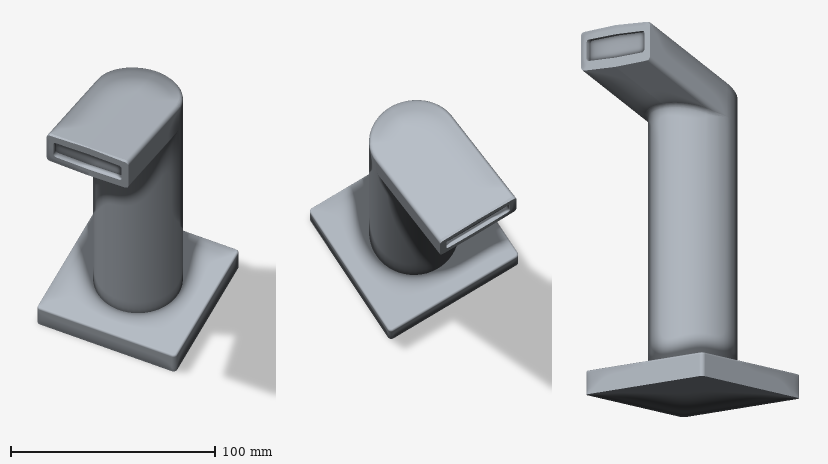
import cadquery as cq
import math

base_side = 75.0
base_height = 12.0
base_corner_radius = 2.0
base_top_radius = 1.0

column_diameter = 44.0
column_radius = column_diameter / 2
total_height = 176.25
spout_reach = 59.0
spout_angle = 20.0
spout_thickness = 21.1
spout_edge_radius = 2.0
crown = 0.7
neck_radius = 2.0

strip_length = 0.7
end_crown = 1.0

pocket_width = 36.8
pocket_height = 11.6
pocket_drop = 4.6
pocket_crown = 0.5
pocket_corner_radius = 1.5
pocket_depth = 3.0

slope = math.tan(math.radians(spout_angle))
spout_length = spout_reach + column_radius
end_ridge_height = total_height + strip_length * slope
back_ridge_height = end_ridge_height - spout_length * slope
ridge_height_on_axis = end_ridge_height - spout_reach * slope
column_top = ridge_height_on_axis - spout_thickness / 2


def crowned_outline(y, width, top, height, rise):
    """Closed six-sided outline in the XZ plane, ridged at the top and bottom middle."""
    half = width / 2
    bottom = top - height
    return cq.Workplane("XZ", origin=(0, y, 0)).polyline([
        (0, top),
        (half, top - rise),
        (half, bottom + rise),
        (0, bottom),
        (-half, bottom + rise),
        (-half, top - rise),
    ]).close()


def make_base():
    """Square plate with rounded corners and a rounded top edge."""
    plate = cq.Workplane("XY").rect(base_side, base_side).extrude(base_height)
    plate = plate.edges("|Z").fillet(base_corner_radius)
    return plate.faces(">Z").edges().fillet(base_top_radius)


def make_spout_blank():
    """Inclined crowned bar whose back end is rounded to the column."""
    outline = crowned_outline(column_radius, column_diameter, back_ridge_height, spout_thickness, crown)
    rise_vector = cq.Vector(0, -spout_length, spout_length * slope)
    bar = cq.Solid.extrudeLinear(outline.val(), [], rise_vector)
    rounded_plan = (
        cq.Workplane("XY")
        .moveTo(column_radius, -spout_reach)
        .lineTo(column_radius, 0)
        .threePointArc((0, column_radius), (-column_radius, 0))
        .lineTo(-column_radius, -spout_reach)
        .close()
        .extrude(end_ridge_height)
    )
    return rounded_plan.intersect(cq.Workplane(bar))


def make_column():
    """Cylinder from the top of the base to the middle of the spout's thickness."""
    height = column_top - base_height
    return cq.Workplane("XY", origin=(0, 0, base_height)).circle(column_radius).extrude(height)


def round_spout_edges(blank):
    """Round the sloping side edges and the top edge of the rounded back end."""
    sides = blank.edges(cq.selectors.ParallelDirSelector(cq.Vector(0, -1, slope)))
    long_edges = sides.filter(lambda edge: abs(edge.Center().x) > column_radius / 2)
    back_edges = blank.edges("%ELLIPSE").filter(lambda edge: edge.Center().z > column_top)
    return blank.newObject(long_edges.vals() + back_edges.vals()).fillet(spout_edge_radius)


def trim_level_strip(spout):
    """Cut the tip of the end's top edge down to a level, crowned strip."""
    envelope = crowned_outline(
        -spout_reach, column_diameter, total_height, total_height, end_crown
    ).extrude(-spout_length)
    upper_edges = envelope.edges("|Y").filter(
        lambda edge: abs(edge.Center().x) > column_radius / 2 and edge.Center().z > column_top
    )
    envelope = envelope.newObject(upper_edges.vals()).fillet(spout_edge_radius)
    return spout.intersect(envelope)


def make_pocket():
    """Solid to cut from the end face, crowned like the spout."""
    outline = crowned_outline(
        -spout_reach, pocket_width, total_height - pocket_drop, pocket_height, pocket_crown
    )
    pocket = outline.extrude(-pocket_depth)
    corners = pocket.edges("|Y").filter(lambda edge: abs(edge.Center().x) > column_radius / 2)
    return pocket.newObject(corners.vals()).fillet(pocket_corner_radius)


def round_neck(body):
    """Fillet the seam where the column meets the underside of the spout."""
    seam = body.edges("%ELLIPSE").filter(
        lambda edge: edge.Center().y < 0 and edge.Center().z < column_top
    )
    return body.newObject(seam.vals()).fillet(neck_radius)


spout = trim_level_strip(round_spout_edges(make_spout_blank()))
body = round_neck(spout.union(make_column(), clean=True))
result = body.cut(make_pocket()).union(make_base())